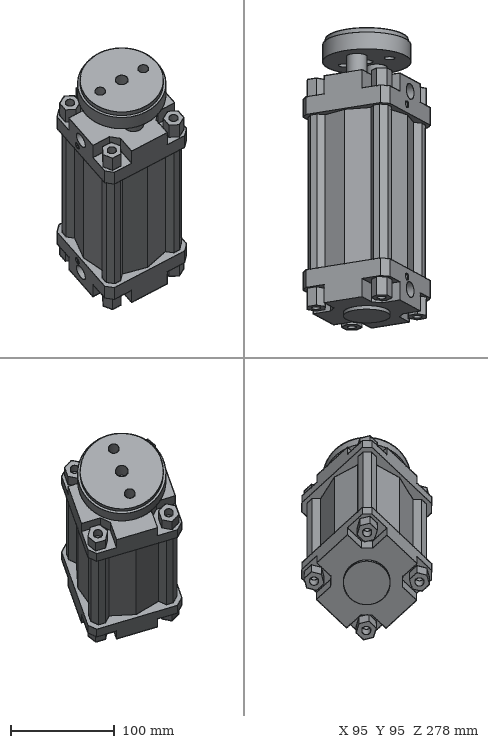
import cadquery as cq
import math

total_height = 278.0
boss_height = 3.5
head_height = 36.1
shoulder_height = 17.8
head_top = 232.0

head_width = 95.0
head_chamfer = 6.7
arm_width = 41.5
recess_corner_chamfer = 7.5
boss_diameter = 45.0

nut_offset = 36.0
nut_corner_diameter = 20.0
nut_hole_diameter = 8.5
nut_hole_depth = 14.0
drill_tip_angle = 118.0

ridge_offset = 44.5
post_offset = 43.6
post_facet = 5.8
post_flat = 7.0

port_diameter = 15.3
port_depth = 22.2
upper_port_z = 219.0
lower_port_z = 19.7
screw_diameter = 6.5
screw_depth = 1.5
screw_x = -6.0
upper_screw_z = 204.5
lower_screw_z = 31.0

disc_diameter = 85.0
disc_bottom = 255.8
rim_diameter = 80.0
rim_height = 5.3
rod_diameter = 20.0
rod_offset = 20.0
center_hole_diameter = 12.0
side_hole_diameter = 10.0
side_hole_offset = 25.0

recess_depth = head_height - shoulder_height
lower_head_top = boss_height + head_height
upper_head_bottom = head_top - head_height
QUARTER_TURNS = (0, 90, 180, 270)


def make_nut():
    """Hexagonal nut with a drilled blind hole, in the (-X, -Y) corner, standing on Z = 0."""
    tip_height = nut_hole_diameter / 2 / math.tan(math.radians(drill_tip_angle / 2))
    straight_bottom = recess_depth - nut_hole_depth
    drill = (
        cq.Workplane("XZ")
        .moveTo(0, straight_bottom - tip_height)
        .lineTo(nut_hole_diameter / 2, straight_bottom)
        .lineTo(nut_hole_diameter / 2, recess_depth)
        .lineTo(0, recess_depth)
        .close()
        .revolve(360, (0, 0, 0), (0, 1, 0))
    )
    hexagon = cq.Workplane("XY").polygon(6, nut_corner_diameter).extrude(recess_depth)
    return hexagon.cut(drill).translate((-nut_offset, -nut_offset, 0))


def make_recess():
    """Cutter for the (-X, -Y) corner recess, with its inner vertical corner chamfered."""
    size = (head_width - arm_width) / 2
    inner = -arm_width / 2
    return (
        cq.Workplane("XY")
        .rect(size, size)
        .extrude(recess_depth)
        .edges("|Z and >X and >Y")
        .chamfer(recess_corner_chamfer)
        .translate((inner - size / 2, inner - size / 2, 0))
    )


def make_head():
    """Square head with its inner face on Z = 0 and four recessed nuts on the outer side."""
    head = (
        cq.Workplane("XY")
        .rect(head_width, head_width)
        .extrude(head_height)
        .edges("|Z")
        .chamfer(head_chamfer)
    )
    recess = make_recess().translate((0, 0, shoulder_height))
    nut = make_nut().translate((0, 0, shoulder_height))
    for angle in QUARTER_TURNS:
        head = head.cut(recess.rotate((0, 0, 0), (0, 0, 1), angle))
        head = head.union(nut.rotate((0, 0, 0), (0, 0, 1), angle))
    return head


def make_barrel():
    """Barrel between the heads: the -Y side of its outline is repeated by quarter turns."""
    post_outer = post_offset - post_facet
    post_inner = post_outer - post_flat
    panel_end = post_inner - post_facet
    side = [
        (-post_outer, -post_offset),
        (-post_inner, -post_offset),
        (-panel_end, -post_offset + post_facet),
        (0, -ridge_offset),
        (panel_end, -post_offset + post_facet),
        (post_inner, -post_offset),
        (post_outer, -post_offset),
    ]
    outline = []
    for angle in QUARTER_TURNS:
        cosine = math.cos(math.radians(angle))
        sine = math.sin(math.radians(angle))
        outline += [(x * cosine - y * sine, x * sine + y * cosine) for x, y in side]
    return (
        cq.Workplane("XY", origin=(0, 0, lower_head_top))
        .polyline(outline)
        .close()
        .extrude(upper_head_bottom - lower_head_top)
    )


def make_front_hole(diameter, depth, x, z):
    """Cutter for a blind hole that runs in from the -Y face."""
    face = cq.Workplane("XZ", origin=(x, -head_width / 2, z))
    return face.circle(diameter / 2).extrude(-depth)


def make_housing():
    """Barrel, both heads with their nuts, and the base boss."""
    head = make_head()
    upper_head = head.translate((0, 0, upper_head_bottom))
    lower_head = head.mirror("XY").translate((0, 0, lower_head_top))
    boss = cq.Workplane("XY").circle(boss_diameter / 2).extrude(boss_height)
    housing = make_barrel().union(upper_head).union(lower_head).union(boss)
    for z in (lower_port_z, upper_port_z):
        housing = housing.cut(make_front_hole(port_diameter, port_depth, 0, z))
    for z in (lower_screw_z, upper_screw_z):
        housing = housing.cut(make_front_hole(screw_diameter, screw_depth, screw_x, z))
    return housing


def make_plunger():
    """Stepped disc on two rods that end on the upper head."""
    disc_thickness = total_height - disc_bottom
    disc = (
        cq.Workplane("XY", origin=(0, 0, disc_bottom))
        .circle(disc_diameter / 2)
        .extrude(disc_thickness - rim_height)
        .faces(">Z")
        .workplane()
        .circle(rim_diameter / 2)
        .extrude(rim_height)
    )
    disc = disc.faces(">Z").workplane().hole(center_hole_diameter)
    disc = (
        disc.faces(">Z")
        .workplane(origin=(0, 0, total_height))
        .pushPoints([(0, -side_hole_offset), (0, side_hole_offset)])
        .hole(side_hole_diameter)
    )
    rods = (
        cq.Workplane("XY", origin=(0, 0, head_top))
        .pushPoints([(-rod_offset, 0), (rod_offset, 0)])
        .circle(rod_diameter / 2)
        .extrude(disc_bottom - head_top)
    )
    return disc.union(rods)


housing = make_housing()
plunger = make_plunger()
result = cq.Compound.makeCompound([housing.val(), plunger.val()])